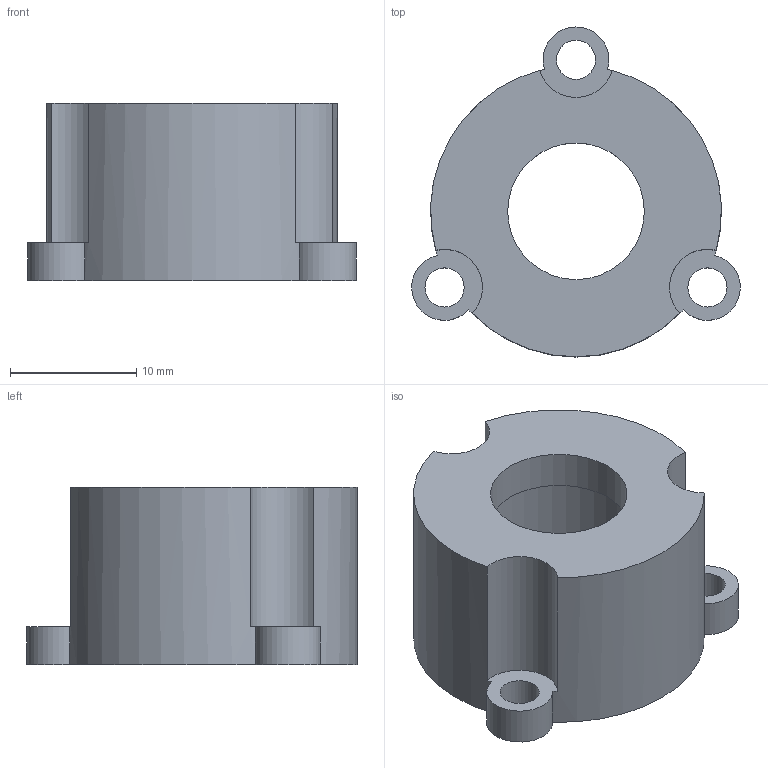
import cadquery as cq

base_height = 3.0
middle_height = 8.0
top_plate_height = 3.0
total_height = base_height + middle_height + top_plate_height

body_diameter = 23.0
top_opening_diameter = 10.8
cavity_diameter = 13.0
cavity_depth = base_height + middle_height

ear_count = 3
full_turn = 360.0
ear_circle_radius = 12.0
ear_diameter = 5.2
screw_hole_diameter = 3.1
screw_head_clearance_diameter = 6.0
first_ear_angle = 90.0


def cylinders_at_ears(diameter, bottom, height):
    """Upright cylinders centred on every screw axis."""
    return (
        cq.Workplane("XY", origin=(0, 0, bottom))
        .polarArray(ear_circle_radius, first_ear_angle, full_turn, ear_count)
        .circle(diameter / 2)
        .extrude(height)
    )


def make_body():
    """Round body with a wide cavity below and a narrower opening through the top plate."""
    body = cq.Workplane("XY").circle(body_diameter / 2).extrude(total_height)
    opening = cq.Workplane("XY").circle(top_opening_diameter / 2).extrude(total_height)
    cavity = cq.Workplane("XY").circle(cavity_diameter / 2).extrude(cavity_depth)
    return body.cut(opening).cut(cavity)


head_clearances = cylinders_at_ears(
    screw_head_clearance_diameter, base_height, total_height - base_height
)
ears = cylinders_at_ears(ear_diameter, 0, base_height)
screw_holes = cylinders_at_ears(screw_hole_diameter, 0, base_height)

result = make_body().cut(head_clearances).union(ears).cut(screw_holes)